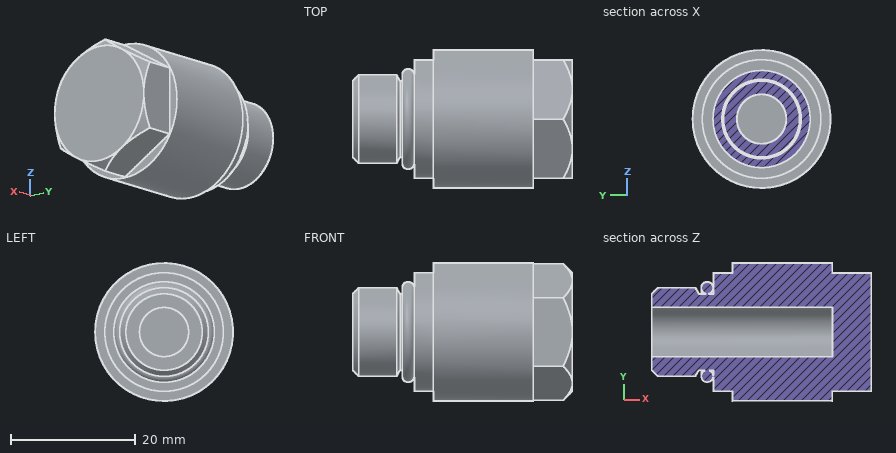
import cadquery as cq
import math

length = 35.33
thread_end = 7.05
neck_start = 7.63
flange_start = 9.93
body_start = 12.95
hex_start = 29.05

thread_radius = 7.15
tip_chamfer = 1.0
neck_radius = 6.15
ring_outer_radius = 8.1
ring_section_radius = 1.0
flange_radius = 9.55
body_radius = 11.11
hex_across_flats = 19.05
bore_radius = 3.95
bore_depth = hex_start

hex_across_corners = hex_across_flats / math.cos(math.pi / 6)
hex_chamfer = (hex_across_corners - hex_across_flats) / 2


def turned_body():
    """Half profile (X, radius) revolved about the X axis."""
    profile = [
        (0, 0),
        (0, thread_radius - tip_chamfer),
        (tip_chamfer, thread_radius),
        (thread_end, thread_radius),
        (neck_start, neck_radius),
        (flange_start, neck_radius),
        (flange_start, flange_radius),
        (body_start, flange_radius),
        (body_start, body_radius),
        (hex_start, body_radius),
        (hex_start, 0),
    ]
    return cq.Workplane("XY").polyline(profile).close().revolve(360, (0, 0), (1, 0))


def seal_ring():
    """O-ring seated in the neck against the flange."""
    return (
        cq.Workplane("XY")
        .center(flange_start - ring_section_radius, ring_outer_radius - ring_section_radius)
        .circle(ring_section_radius)
        .revolve(
            360,
            (0, ring_section_radius - ring_outer_radius),
            (1, ring_section_radius - ring_outer_radius),
        )
    )


def hex_end():
    """Hexagon with flats facing +Y and -Y, its corners turned off at 45 degrees."""
    hex_length = length - hex_start
    prism = (
        cq.Workplane("YZ", origin=(hex_start, 0, 0))
        .transformed(rotate=(0, 0, 90))
        .polygon(6, hex_across_corners)
        .extrude(hex_length)
    )
    corner_envelope = (
        cq.Workplane("YZ", origin=(hex_start, 0, 0))
        .circle(hex_across_corners / 2)
        .extrude(hex_length)
        .faces(">X")
        .chamfer(hex_chamfer)
    )
    return prism.intersect(corner_envelope)


bore = cq.Workplane("YZ").circle(bore_radius).extrude(bore_depth)
result = turned_body().union(seal_ring()).union(hex_end()).cut(bore)